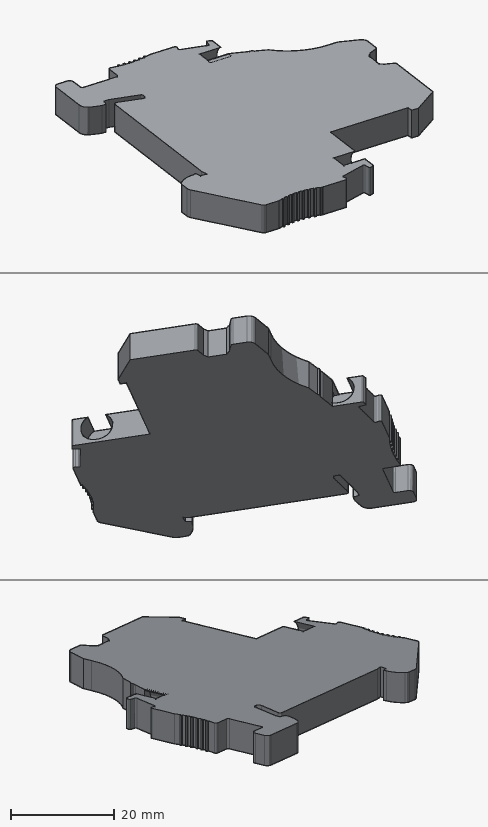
import cadquery as cq
import math

length = 61.8
height = 60.5
thickness = 6.2
half_length = length / 2
top_y = height / 2
bottom_y = -top_y

shoulder_y = 5.0
tower_left_x = -15.5
tower_right_x = 13.55
catch_x = 14.8
catch_bottom_y = 22.8
flank_foot_x = -23.0
notch_floor_y = 27.3
notch_bend_y = 28.1
base_y = -24.3
slot_top_y = -17.8
undercut_bottom_y = -25.4
left_foot_x = -30.7
left_foot_top_y = -26.25
left_foot_inner_x = -19.0
left_recess_x = -26.95
slot_left_x = -20.2

tower_corner = (-13.6, top_y)
notch_left = (-9.4, top_y)
notch_right = (-2.55, top_y)
slope_top = (half_length, -21.25)
slope_bottom = (17.75, bottom_y)
right_toe = (15.1, bottom_y)
slot_mouth = (-18.65, base_y)
slot_right = (-16.8, slot_top_y)
slot_left = (-18.4, slot_top_y)
left_heel = (-20.35, bottom_y)
foot_bottom = (left_foot_x, bottom_y)
foot_top = (left_foot_x, left_foot_top_y)
recess_bottom = (left_recess_x, left_foot_top_y)
recess_top = (left_recess_x, slot_top_y)
grip_end = (left_foot_x, slot_top_y)

corner_radii = [
    (tower_corner, 1.55), (notch_left, 0.55), (notch_right, 0.55),
    (slope_top, 0.9), (slope_bottom, 1.55), (right_toe, 1.25),
    (slot_mouth, 0.5), (slot_right, 0.6), (slot_left, 0.4),
    (left_heel, 1.85), (foot_bottom, 0.9), (foot_top, 0.9), (recess_bottom, 0.4),
    (recess_top, 0.4), (grip_end, 0.45),
]

hook_corners = [(29.05, shoulder_y), (29.5, 3.9), (27.8, 3.6), (29.5, -2.4), (half_length, -2.0)]
hook_radii = [0.25, 0.2, 0.3, 0.3, 0.45]

right_grip = [(half_length, -7.8), (30.0, -12.8), (half_length, -17.8)]
left_grip = [(-half_length, -8.0), (-30.2, -13.15), grip_end]
rib_pitch = 1.21
rib_center_y = -12.4
rib_height = 0.4
rib_reach = 0.4
rib_root = 0.3
right_rib_count = 8
left_rib_count = 6

bore_radius = 2.95
bore_flat = 0.45
bore_depth = 5.5
bore_length = 4.9
left_bore_x = -24.1
right_bore_x = 24.15
lip_thickness = 0.2


def hook(side):
    """Corners of one finger hook; side is +1 for the right end, -1 for the left end."""
    return [(side * x, y) for x, y in hook_corners]


def add_lines(outline, points):
    for x, y in points:
        outline = outline.lineTo(x, y)
    return outline


def plate():
    """The whole outline, clockwise from the top left of the tower, made into a plate."""
    outline = cq.Workplane("XY").moveTo(*tower_corner)

    outline = add_lines(outline, [
        notch_left, (-8.45, notch_bend_y), (-7.65, notch_floor_y),
        (-4.0, notch_floor_y), (-3.35, notch_bend_y), notch_right,
        (10.8, top_y), (catch_x, 24.4), (catch_x, catch_bottom_y),
        (tower_right_x, catch_bottom_y), (tower_right_x, shoulder_y),
    ])

    outline = add_lines(outline, hook(1) + right_grip[:1])
    outline = outline.threePointArc(*right_grip[1:])
    outline = add_lines(outline, [slope_top, slope_bottom, right_toe])

    outline = outline.threePointArc((13.85, -28.55), (13.4, -26.3))
    outline = add_lines(outline, [(13.2, -25.7), (14.45, undercut_bottom_y), (14.6, -24.0), (13.15, base_y)])

    outline = add_lines(outline, [
        slot_mouth, slot_right, slot_left, (slot_left_x, base_y), (slot_left_x, undercut_bottom_y),
        (left_foot_inner_x, -25.7), (left_foot_inner_x, -26.7),
    ])

    outline = outline.threePointArc((-19.6, -28.6), left_heel)
    outline = add_lines(outline, [
        foot_bottom, foot_top, recess_bottom, recess_top, grip_end,
    ])
    outline = outline.threePointArc(left_grip[1], left_grip[0])
    outline = add_lines(outline, hook(-1)[::-1])

    outline = add_lines(outline, [
        (flank_foot_x, shoulder_y), (-21.9, 8.0), (-21.55, 8.8), (-21.55, 9.35), (-21.2, 9.7), (-20.15, 12.25),
    ])
    outline = outline.threePointArc((-16.8, 16.9), (tower_left_x, 23.25))
    outline = outline.lineTo(tower_left_x, 25.15).close()
    return outline.extrude(thickness)


def round_corners(body):
    corners = list(corner_radii)
    for side in (1, -1):
        corners += zip(hook(side), hook_radii)
    for (x, y), radius in corners:
        nearest = cq.selectors.NearestToPointSelector((x, y, thickness / 2))
        body = body.edges("|Z").edges(nearest).fillet(radius)
    return body


def grip_circle(grip):
    """Radius and center of the circle through the three points of a grip arc."""
    (x1, y1), (x2, y2), (x3, y3) = grip
    d = 2 * (x1 * (y2 - y3) + x2 * (y3 - y1) + x3 * (y1 - y2))
    s1, s2, s3 = x1**2 + y1**2, x2**2 + y2**2, x3**2 + y3**2
    center_x = (s1 * (y2 - y3) + s2 * (y3 - y1) + s3 * (y1 - y2)) / d
    center_y = (s1 * (x3 - x2) + s2 * (x1 - x3) + s3 * (x2 - x1)) / d
    return math.hypot(x1 - center_x, y1 - center_y), center_x, center_y


def grip_ribs(grip, side, count):
    """Small ribs standing out of a grip arc, none of them reaching past the plate's end."""
    radius, center_x, center_y = grip_circle(grip)
    ribs = cq.Workplane("XY")
    for i in range(count):
        y = rib_center_y + (i - (count - 1) / 2) * rib_pitch
        wall = side * center_x - math.sqrt(radius**2 - (y - center_y)**2)
        root = wall - rib_root
        tip = min(wall + rib_reach, half_length)
        rib = cq.Workplane("XY").box(tip - root, rib_height, thickness, centered=(True, True, False))
        ribs = ribs.add(rib.translate((side * (tip + root) / 2, y, 0)))
    return ribs.combine()


def wire_bore(center_x):
    axis_z = thickness - bore_depth + bore_radius
    return (
        cq.Workplane("XZ", origin=(center_x, shoulder_y, axis_z))
        .slot2D(2 * bore_radius + bore_flat, 2 * bore_radius)
        .extrude(bore_length)
    )


def lip_over_left_bore():
    """Space above the lip's underside, from the tower's foot rightwards, that the bore leaves solid."""
    width = 2 * bore_radius
    lip = cq.Workplane("XY").box(width, bore_length, width, centered=False)
    return lip.translate((flank_foot_x, shoulder_y - bore_length, thickness - lip_thickness))


body = round_corners(plate())
body = body.union(grip_ribs(right_grip, 1, right_rib_count))
body = body.union(grip_ribs(left_grip, -1, left_rib_count))
body = body.cut(wire_bore(right_bore_x))
body = body.cut(wire_bore(left_bore_x).cut(lip_over_left_bore()))

result = body